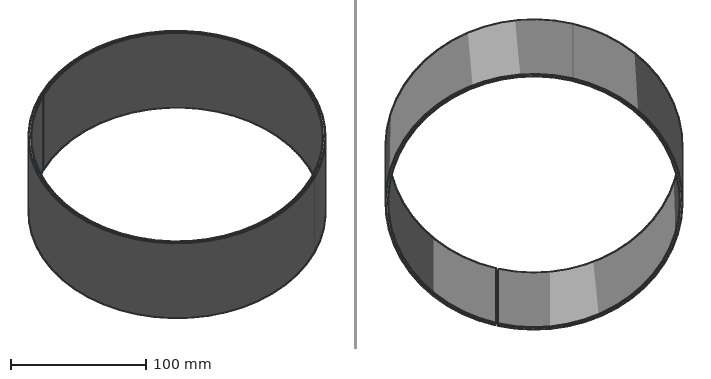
import cadquery as cq

outer_diameter = 220.0
wall_thickness = 2.5
height = 80.0
slit_width = 1.8
rim_chamfer = 0.5

outer_radius = outer_diameter / 2
inner_radius = outer_radius - wall_thickness

band = (
    cq.Workplane("XY")
    .circle(outer_radius)
    .circle(inner_radius)
    .extrude(height)
    .faces("<Z or >Z")
    .edges()
    .chamfer(rim_chamfer)
)

slit_cutter = (
    cq.Workplane("XY")
    .box(outer_radius, slit_width, height, centered=False)
    .translate((-outer_radius, 0, 0))
)

result = band.cut(slit_cutter)